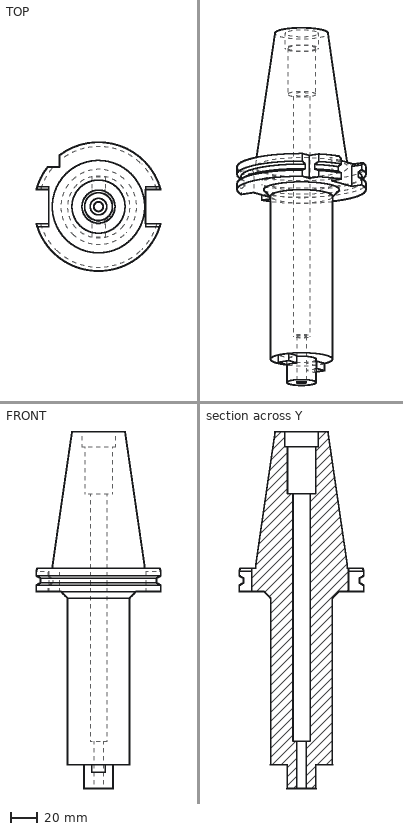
import cadquery as cq
import math

taper_length = 101.75
flange_top = -1.5
flange_bottom = -19.1
body_bottom = -150.0
pilot_length = 18.0
pilot_bottom = body_bottom - pilot_length

gauge_diameter = 69.85
taper_ratio = 7 / 24
taper_top_diameter = gauge_diameter - taper_length * taper_ratio
flange_diameter = 97.5
body_diameter = 47.0
pilot_diameter = 22.0

collar_height = 5.0

groove_floor_diameter = 91.5
groove_center = -10.8
groove_floor_width = 3.5
groove_flank_angle = 30.0

slot_width = 25.7
slot_floor_left = 37.7
slot_floor_right = 35.5
slot_chamfer = 2.2

notch_corner_x = -29.5
notch_corner_y = 30.0

key_width = 10.0
key_height = 5.6
key_inner = 12.75
key_outer = 22.75

entry_bore_diameter = 25.0
entry_bore_depth = 11.5
thread_core_diameter = 21.0
thread_core_depth = 47.0
middle_bore_diameter = 12.5
screw_hole_diameter = 7.0
screw_hole_depth = 36.0


def turned_body():
    """Taper, flange with gripper groove, collar, body and pilot as one revolved outline."""
    flange_radius = flange_diameter / 2
    groove_radius = groove_floor_diameter / 2
    body_radius = body_diameter / 2
    flank_drop = (flange_radius - groove_radius) * math.tan(math.radians(groove_flank_angle))
    floor_half = groove_floor_width / 2
    mouth_half = floor_half + flank_drop
    outline = [
        (0, taper_length),
        (taper_top_diameter / 2, taper_length),
        (gauge_diameter / 2, 0),
        (gauge_diameter / 2, flange_top),
        (flange_radius, flange_top),
        (flange_radius, groove_center + mouth_half),
        (groove_radius, groove_center + floor_half),
        (groove_radius, groove_center - floor_half),
        (flange_radius, groove_center - mouth_half),
        (flange_radius, flange_bottom),
        (body_radius + collar_height, flange_bottom),
        (body_radius, flange_bottom - collar_height),
        (body_radius, body_bottom),
        (pilot_diameter / 2, body_bottom),
        (pilot_diameter / 2, pilot_bottom),
        (0, pilot_bottom),
    ]
    return cq.Workplane("XZ").polyline(outline).close().revolve(360, (0, 0), (0, 1))


def drive_slot(side, floor_distance):
    """Slot through the flange rim on one side (+1 or -1 in X), chamfered at its top edges."""
    half = slot_width / 2
    wide_half = half + slot_chamfer
    profile = [
        (-half, flange_bottom),
        (half, flange_bottom),
        (half, flange_top - slot_chamfer),
        (wide_half, flange_top),
        (-wide_half, flange_top),
        (-half, flange_top - slot_chamfer),
    ]
    depth = side * (flange_diameter / 2 - floor_distance)
    plane = cq.Workplane("YZ", origin=(side * floor_distance, 0, 0))
    return plane.polyline(profile).close().extrude(depth)


def orientation_notch():
    """Square-cornered cut through the full flange thickness at the -X, +Y rim."""
    reach = flange_diameter / 2
    return (
        cq.Workplane("XY", origin=(notch_corner_x, notch_corner_y, flange_bottom))
        .rect(-reach, reach, centered=False)
        .extrude(flange_top - flange_bottom)
    )


def drive_key(side):
    """Rectangular key below the body end, on one side (+1 or -1 in Y)."""
    return (
        cq.Workplane("XY", origin=(0, side * (key_inner + key_outer) / 2, body_bottom))
        .rect(key_width, key_outer - key_inner)
        .extrude(-key_height)
    )


def axial_hole(diameter, top, bottom):
    """Cylinder on the axis between two levels."""
    return cq.Workplane("XY", origin=(0, 0, bottom)).circle(diameter / 2).extrude(top - bottom)


def axial_bore():
    """Entry bore, thread core, middle bore and screw hole, open at both ends."""
    entry_bottom = taper_length - entry_bore_depth
    core_bottom = taper_length - thread_core_depth
    screw_hole_top = pilot_bottom + screw_hole_depth
    return (
        axial_hole(entry_bore_diameter, taper_length, entry_bottom)
        .union(axial_hole(thread_core_diameter, entry_bottom, core_bottom))
        .union(axial_hole(middle_bore_diameter, core_bottom, screw_hole_top))
        .union(axial_hole(screw_hole_diameter, screw_hole_top, pilot_bottom))
    )


result = turned_body()
result = result.cut(drive_slot(-1, slot_floor_left))
result = result.cut(drive_slot(1, slot_floor_right))
result = result.cut(orientation_notch())
for key_side in (-1, 1):
    result = result.union(drive_key(key_side))
result = result.cut(axial_bore())